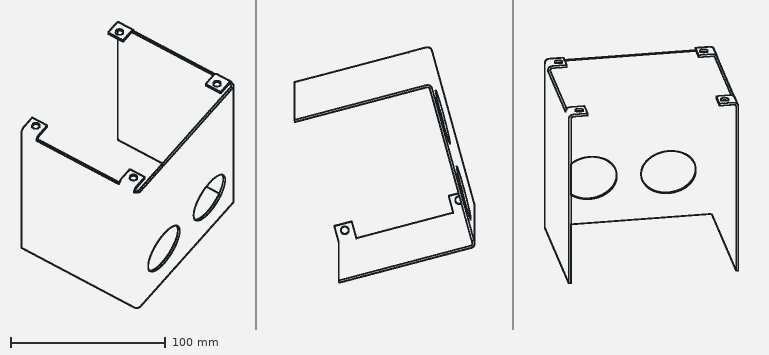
import cadquery as cq

length = 91.5
width = 111.7
height = 120.0

thickness = 1.5
inner_radius = 1.5
bend_radius = inner_radius + thickness

tab_width = 11.8
tab_reach = 12.5
tab_hole_diameter = 5.0
tab_hole_inset = 8.0

opening_width = 36.0
opening_height = 30.0
opening_spacing = 52.0
opening_center_z = 32.0

wall_height = height - bend_radius
side_length = length - bend_radius
half_width = width / 2


def make_walls():
    """Back wall at +X and two side walls, joined by rounded vertical bends."""
    outer = (
        cq.Workplane("XY")
        .box(length, width, wall_height, centered=(False, True, False))
        .edges("|Z and >X")
        .fillet(bend_radius)
    )
    inner = (
        cq.Workplane("XY")
        .box(length - thickness, width - 2 * thickness, wall_height, centered=(False, True, False))
        .edges("|Z and >X")
        .fillet(inner_radius)
    )
    return outer.cut(inner)


def make_tab(start_x):
    """Inward-folded tab with its bend and screw hole, on the -Y side wall."""
    bend_mid = 0.5 ** 0.5
    bend_y = -half_width + bend_radius
    tab_end_y = -half_width + tab_reach
    profile = (
        cq.Workplane("YZ", origin=(start_x, 0, 0))
        .moveTo(-half_width, wall_height)
        .threePointArc(
            (bend_y - bend_radius * bend_mid, wall_height + bend_radius * bend_mid),
            (bend_y, height),
        )
        .lineTo(tab_end_y, height)
        .lineTo(tab_end_y, height - thickness)
        .lineTo(bend_y, height - thickness)
        .threePointArc(
            (bend_y - inner_radius * bend_mid, wall_height + inner_radius * bend_mid),
            (-half_width + thickness, wall_height),
        )
        .close()
    )
    hole = (
        cq.Workplane("XY")
        .center(start_x + tab_width / 2, -half_width + tab_hole_inset)
        .circle(tab_hole_diameter / 2)
        .extrude(height)
    )
    return profile.extrude(tab_width).cut(hole)


def make_openings():
    """Cutters for the pair of elliptical openings through the back wall."""
    return (
        cq.Workplane("YZ", origin=(length - bend_radius, 0, opening_center_z))
        .pushPoints([(-opening_spacing / 2, 0), (opening_spacing / 2, 0)])
        .ellipse(opening_width / 2, opening_height / 2)
        .extrude(bend_radius)
    )


result = make_walls().cut(make_openings())
for tab_start_x in (0, side_length - tab_width):
    tab = make_tab(tab_start_x)
    result = result.union(tab).union(tab.mirror("XZ"))